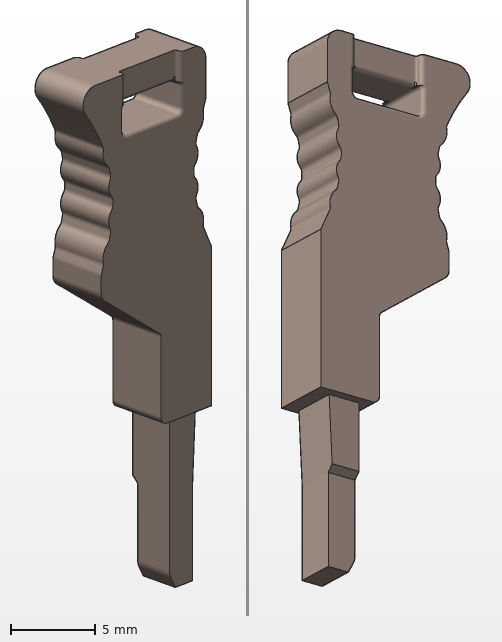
import cadquery as cq
import math

body_thick = 4.0
body_depth = 11.0
total_height = 34.4
body_bottom = 10.95
half_thick = body_thick / 2

waist_z = 26.42
waist_front_y = 2.55
waist_back_y = 9.5
waist_radius = 9.1
ridge_count = 4
ridge_pitch = 2.03
ridge_length = 1.35
ridge_bulge = 0.28
ridge_root_radius = 0.45

head_back_y = 10.53
head_back_z = 30.82
head_corner_radius = 1.03
nose_radius = 1.03
nose_end_angle = math.radians(32)
throat_bulge = 0.07

belly_y = 1.55
belly_top_z = 22.1
belly_bottom_z = 20.55
belly_top_radius = 0.55
belly_radius = 0.75
stem_front_y = 6.67
stem_top_z = 16.8
stem_top_radius = 0.38
stem_bottom_radius = 0.5
back_slope_end_z = 21.15

window_front_y = 3.47
window_back_y = 8.53
window_bottom = 30.4
window_top = 32.4
window_lower_radius = 0.35
window_upper_radius = 0.28
rim_radius = 0.292
recess_inset = 0.1
recess_depth = 0.5
recess_corner_radius = 0.15
bridge_edge_radius = 0.292

blade_left_x = -1.38
blade_right_x = 1.7
blade_step = 0.4
blade_step_top = 6.5
blade_step_bottom = 6.1
blade_front_y = 7.75
blade_root_back_y = 9.95
blade_back_y = 9.7
tip_bevel_height = 0.9
tip_bevel_depth = 0.48
tip_radius = 0.85


def ridge_spans():
    """Upper and lower Z of each ridge, measured from the waist, top ridge first."""
    first = (ridge_count - 1) / 2 * ridge_pitch
    centers = [first - i * ridge_pitch for i in range(ridge_count)]
    return [(c + ridge_length / 2, c - ridge_length / 2) for c in centers]


def grip_point(waist_y, outward, dz):
    """Point on the hollow grip arc; outward is -1 for the front edge and +1 for the back edge."""
    sag = waist_radius - math.sqrt(waist_radius**2 - dz**2)
    return (waist_y + outward * sag, waist_z + dz)


def ridge_crest(start, end, outward):
    """Crest of a ridge, standing off the middle of its chord."""
    dy = end[0] - start[0]
    dz = end[1] - start[1]
    length = math.hypot(dy, dz)
    mid_y = (start[0] + end[0]) / 2
    mid_z = (start[1] + end[1]) / 2
    return (
        mid_y + outward * ridge_bulge * abs(dz) / length,
        mid_z + ridge_bulge * abs(dy) / length * (1 if mid_z > waist_z else -1),
    )


def grip_ridges(waist_y, outward):
    """(start, crest, end) of every ridge on one edge, top ridge first."""
    ridges = []
    for upper, lower in ridge_spans():
        start = grip_point(waist_y, outward, upper)
        end = grip_point(waist_y, outward, lower)
        ridges.append((start, ridge_crest(start, end, outward), end))
    return ridges


def corner_edges(solid, points):
    """Edges along X that pass through the given (y, z) points."""
    edges = []
    for y, z in points:
        edges.extend(solid.edges("|X").edges(cq.selectors.NearestToPointSelector((0, y, z))).vals())
    return solid.newObject(edges)


def make_body():
    front = grip_ridges(waist_front_y, -1)
    back = grip_ridges(waist_back_y, 1)

    nose_center_z = total_height - nose_radius
    nose_mid_angle = (nose_end_angle - math.pi / 2) / 2
    nose_mid = (
        nose_radius - nose_radius * math.cos(nose_mid_angle),
        nose_center_z - nose_radius * math.sin(nose_mid_angle),
    )
    nose_end = (
        nose_radius - nose_radius * math.cos(nose_end_angle),
        nose_center_z - nose_radius * math.sin(nose_end_angle),
    )
    throat_end = front[0][0]
    throat_mid = (
        (nose_end[0] + throat_end[0]) / 2 + throat_bulge,
        (nose_end[1] + throat_end[1]) / 2 + throat_bulge,
    )

    outline = (
        cq.Workplane("YZ", origin=(-half_thick, 0, 0))
        .moveTo(head_back_y, total_height)
        .lineTo(nose_radius, total_height)
        .threePointArc(nose_mid, nose_end)
        .threePointArc(throat_mid, throat_end)
    )
    for i, (start, crest, end) in enumerate(front):
        if i > 0:
            outline = outline.lineTo(*start)
        outline = outline.threePointArc(crest, end)
    outline = (
        outline.lineTo(belly_y, belly_top_z)
        .lineTo(belly_y, belly_bottom_z)
        .lineTo(stem_front_y, stem_top_z)
        .lineTo(stem_front_y, body_bottom)
        .lineTo(body_depth, body_bottom)
        .lineTo(body_depth, back_slope_end_z)
    )
    for start, crest, end in reversed(back):
        outline = outline.lineTo(*end).threePointArc(crest, start)
    body = outline.lineTo(head_back_y, head_back_z).close().extrude(body_thick)

    ridge_roots = [point for start, _, end in front + back for point in (start, end)]
    rounds = [
        (ridge_root_radius, ridge_roots),
        (head_corner_radius, [(head_back_y, total_height)]),
        (belly_top_radius, [(belly_y, belly_top_z)]),
        (belly_radius, [(belly_y, belly_bottom_z)]),
        (stem_top_radius, [(stem_front_y, stem_top_z)]),
        (stem_bottom_radius, [(stem_front_y, body_bottom)]),
    ]
    for radius, points in rounds:
        body = corner_edges(body, points).fillet(radius)
    return body


def cut_window(body):
    """Rounded window through the head, with its rim rounded on both faces."""
    width = window_back_y - window_front_y
    height = window_top - window_bottom
    window = (
        cq.Workplane("XY", origin=(0, window_front_y, window_bottom))
        .box(body_thick, width, height, centered=(True, False, False))
    )
    window = window.edges("|X and <Z").fillet(window_lower_radius)
    window = window.edges("|X and >Z").fillet(window_upper_radius)
    body = body.cut(window)
    rim_zone = cq.selectors.BoxSelector(
        (-body_thick, window_front_y - rim_radius, window_bottom - rim_radius),
        (body_thick, window_back_y + rim_radius, window_top + rim_radius),
    )
    return body.faces("<X or >X").edges(rim_zone).fillet(rim_radius)


def cut_recesses(body):
    """Set the bridge above the window back from both faces, flare the recess ends, round the bridge."""
    front_y = window_front_y + recess_inset
    back_y = window_back_y - recess_inset
    lip_x = half_thick - rim_radius
    diagonal = rim_radius * (1 - math.sqrt(0.5))
    recess = (
        cq.Workplane("XY", origin=(0, 0, window_top))
        .moveTo(half_thick - recess_depth, front_y)
        .lineTo(lip_x, front_y)
        .threePointArc((half_thick - diagonal, front_y - diagonal), (half_thick, front_y - rim_radius))
        .lineTo(half_thick, back_y + rim_radius)
        .threePointArc((half_thick - diagonal, back_y + diagonal), (lip_x, back_y))
        .lineTo(half_thick - recess_depth, back_y)
        .close()
        .extrude(total_height - window_top)
    )
    recess = recess.edges("|Z and <X").fillet(recess_corner_radius)
    body = body.cut(recess).cut(recess.mirror("YZ"))

    bridge_x = half_thick - recess_depth
    arc_x = bridge_x - bridge_edge_radius * (1 - math.sqrt(0.5))
    arc_z = window_top + bridge_edge_radius * (1 - math.sqrt(0.5))
    edge_waste = (
        cq.Workplane("XZ", origin=(0, front_y, 0))
        .moveTo(bridge_x - bridge_edge_radius, window_top)
        .threePointArc((arc_x, arc_z), (bridge_x, window_top + bridge_edge_radius))
        .lineTo(bridge_x, window_top)
        .close()
        .extrude(front_y - back_y)
    )
    return body.cut(edge_waste).cut(edge_waste.mirror("YZ"))


def make_blade():
    """Blade with a tapered back, a bevelled tip and a step on its left side."""
    blade = (
        cq.Workplane("YZ", origin=(blade_left_x, 0, 0))
        .moveTo(blade_front_y, body_bottom)
        .lineTo(blade_front_y, tip_bevel_height)
        .lineTo(blade_front_y + tip_bevel_depth, 0)
        .lineTo(blade_back_y, 0)
        .lineTo(blade_back_y, blade_step_bottom)
        .lineTo(blade_root_back_y, body_bottom)
        .close()
        .extrude(blade_right_x - blade_left_x)
    )
    blade = corner_edges(blade, [(blade_front_y, tip_bevel_height)]).fillet(tip_radius)
    step = (
        cq.Workplane("XZ")
        .moveTo(blade_left_x, 0)
        .lineTo(blade_left_x + blade_step, 0)
        .lineTo(blade_left_x + blade_step, blade_step_bottom)
        .lineTo(blade_left_x, blade_step_top)
        .close()
        .extrude(-body_depth)
    )
    return blade.cut(step)


result = cut_recesses(cut_window(make_body())).union(make_blade())